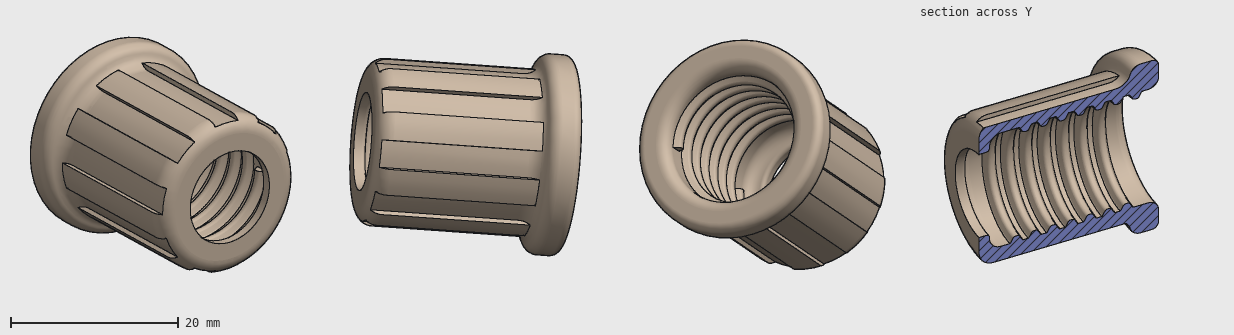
import cadquery as cq
import math

length = 24.5
flange_radius = 12.05
land_radius = 10.1
groove_radius = 9.53

front_rim_round = 1.0
back_rim_round = 1.5
back_rim_start = 2.5
neck_round = 2.0
end_round = 2.0

groove_count = 9
groove_pitch_angle = 360 / groove_count
groove_angle = groove_pitch_angle / 2

bore_radius = 8.04
mouth_round = 1.5
end_wall = 1.5
floor_round = 1.5
hole_radius = 5.88
lip_round = 0.5

thread_pitch = 2.5
thread_turns = 7
crest_radius = 7.2
crest_width = 0.27
crest_round = 0.4
root_round = 0.3
root_sink = 0.02
flank_angle = math.radians(60)
thread_embed = 0.25

clearance = 1.22
x_axis_end = (1, 0, 0)

rim_center_r = flange_radius - back_rim_round
neck_center_r = groove_radius + neck_round
center_distance = back_rim_round + neck_round
neck_center_x = back_rim_start + math.sqrt(center_distance**2 - (neck_center_r - rim_center_r) ** 2)
rim_to_neck_angle = math.atan2(neck_center_r - rim_center_r, neck_center_x - back_rim_start)


def arc_point(center, radius, angle):
    """Point on a circle at an angle in radians."""
    return (center[0] + radius * math.cos(angle), center[1] + radius * math.sin(angle))


neck_center = (neck_center_x, neck_center_r)
neck_land_angle = -math.pi + math.asin((neck_center_r - land_radius) / neck_round)
neck_land_point = arc_point(neck_center, neck_round, neck_land_angle)


def revolved(profile, angle=360):
    """Turn an XY profile about the X axis, starting from +Y."""
    return profile.close().revolve(angle, (0, 0, 0), x_axis_end)


def make_outer_body():
    rim_center = (back_rim_start, rim_center_r)
    rim_end = arc_point(rim_center, back_rim_round, rim_to_neck_angle)
    rim_middle = arc_point(rim_center, back_rim_round, (math.pi / 2 + rim_to_neck_angle) / 2)
    neck_start_angle = rim_to_neck_angle - math.pi
    neck_middle = arc_point(neck_center, neck_round, (neck_start_angle + neck_land_angle) / 2)
    profile = (
        cq.Workplane("XY")
        .lineTo(0, flange_radius - front_rim_round)
        .radiusArc((front_rim_round, flange_radius), front_rim_round)
        .lineTo(back_rim_start, flange_radius)
        .threePointArc(rim_middle, rim_end)
        .threePointArc(neck_middle, neck_land_point)
        .lineTo(length - end_round, land_radius)
        .radiusArc((length, land_radius - end_round), end_round)
        .lineTo(length, 0)
    )
    return revolved(profile)


def cut_grooves(body):
    neck_middle = arc_point(neck_center, neck_round, (neck_land_angle - math.pi / 2) / 2)
    profile = (
        cq.Workplane("XY")
        .moveTo(*neck_land_point)
        .threePointArc(neck_middle, (neck_center_x, groove_radius))
        .lineTo(length + clearance, groove_radius)
        .lineTo(length + clearance, land_radius + clearance)
        .lineTo(neck_land_point[0], land_radius + clearance)
    )
    groove = revolved(profile, groove_angle)
    first_angle = 90 - groove_angle / 2
    for index in range(groove_count):
        turn = first_angle + index * groove_pitch_angle
        body = body.cut(groove.rotate((0, 0, 0), x_axis_end, turn))
    return body


def make_bore():
    floor_x = length - end_wall
    profile = (
        cq.Workplane("XY")
        .lineTo(0, bore_radius + mouth_round)
        .radiusArc((mouth_round, bore_radius), -mouth_round)
        .lineTo(floor_x - floor_round, bore_radius)
        .radiusArc((floor_x, bore_radius - floor_round), floor_round)
        .lineTo(floor_x, hole_radius + lip_round)
        .radiusArc((floor_x + lip_round, hole_radius), -lip_round)
        .lineTo(length, hole_radius)
        .lineTo(length, 0)
    )
    return revolved(profile)


def make_thread():
    """Ridge built about Z from the XZ plane, then turned so that Z becomes X and X becomes Y."""
    crest_drop = crest_round * (1 - math.cos(flank_angle))
    root_rise = root_round * (1 - math.cos(flank_angle))
    root_radius = bore_radius + root_sink
    flank_outer = root_radius - root_rise
    flank_inner = crest_radius + crest_drop
    flank_width = (flank_outer - flank_inner) / math.tan(flank_angle)
    half_crest = crest_width / 2
    half_flank_tip = half_crest + crest_round * math.sin(flank_angle)
    half_flank_base = half_flank_tip + flank_width
    half_base = half_flank_base + root_round * math.sin(flank_angle)
    profile = (
        cq.Workplane("XZ")
        .moveTo(bore_radius + thread_embed, -half_base)
        .lineTo(root_radius, -half_base)
        .radiusArc((flank_outer, -half_flank_base), -root_round)
        .lineTo(flank_inner, -half_flank_tip)
        .radiusArc((crest_radius, -half_crest), crest_round)
        .lineTo(crest_radius, half_crest)
        .radiusArc((flank_inner, half_flank_tip), crest_round)
        .lineTo(flank_outer, half_flank_base)
        .radiusArc((root_radius, half_base), -root_round)
        .lineTo(bore_radius + thread_embed, half_base)
        .close()
    )
    path = cq.Workplane("XY").newObject(
        [cq.Wire.makeHelix(thread_pitch, thread_pitch * thread_turns, bore_radius)]
    )
    ridge = profile.sweep(path, isFrenet=True)
    return ridge.rotate((0, 0, 0), (1, 1, 1), 120).translate((mouth_round + half_base, 0, 0))


result = cut_grooves(make_outer_body().cut(make_bore()).union(make_thread()))